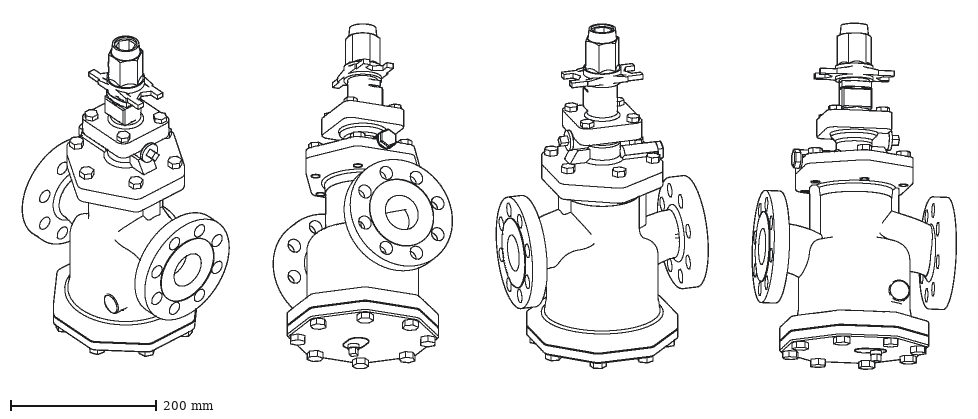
import cadquery as cq
import math


LENGTH = 259.0
FLANGE_DIA = 155.0
FLANGE_BACK_X = 106.0
FLANGE_EDGE_FILLET = 2.0
RAISED_FACE_DIA = 97.0
RAISED_FACE = 1.5
BORE_DIA = 50.0
BORE_DEPTH = 30.5
FLANGE_HOLES = 8
FLANGE_HOLE_DIA = 19.0
FLANGE_PITCH_DIA = 119.5
FLARE_DIA = 80.0
FLARE_LENGTH = 5.0
INLET_DIA = 66.7
INLET_BEND_RADIUS = 94.0
INLET_BEND_ANGLE = 40.0
OUTLET_SECTIONS = [
    (FLANGE_BACK_X, 1.5, 35.2, 36.0),
    (88.0, 9.0, 33.5, 36.5),
    (61.0, 13.5, 35.5, 40.0),
    (19.0, 22.0, 46.0, 46.5),
]

BODY_RADIUS = 77.0
NECK_RADIUS = 51.0
COLLAR_TOP_RADIUS = 53.0
COLLAR_BOTTOM_RADIUS = 51.5
COLLAR_BOTTOM_Z = 72.5
COLLAR_TOP_Z = 83.5
COLLAR_FOOT_RADIUS = 57.0
SHOULDER_Z = -12.5
SHOULDER_RADIUS = 21.0
NECK_FILLET = 10.0
SKIRT_TOP_Z = -83.5
SKIRT_BOTTOM_Z = -100.5
SKIRT_RADIUS = 80.0
SKIRT_FOOT_RADIUS = 84.0

OCTAGON_FLATS = 195.0
OCTAGON_CORNER_FILLET = 12.5
BODY_FLANGE_TOP_Z = -103.5
BODY_FLANGE_BOTTOM_Z = -124.0
BODY_FLANGE_FILLET = 3.8
GASKET_LAND = 1.5
GASKET_LAND_INSET = 0.5
TRAP_COVER_BOTTOM_Z = -140.0
TRAP_COVER_CHAMFER = 2.5
TRAP_BOLTS = 8
TRAP_BOLT_PITCH_RADIUS = 90.0
TRAP_BOLT_DIA = 22.5
TRAP_BOLT_HEIGHT = 8.5

DRAIN_X = 30.5
DRAIN_PAD_X = 15.0
DRAIN_PAD_DIA = 29.0
DRAIN_PAD_HEIGHT = 1.0
DRAIN_COLLAR_DIA = 15.5
DRAIN_COLLAR_BOTTOM_Z = -146.0
PLUG_SQUARE_DIAGONAL = 14.0
DRAIN_BOTTOM_Z = -155.0

TRAP_BOSS_X = 49.5
TRAP_BOSS_Z = -68.0
TRAP_BOSS_FACE_Y = -71.0
TRAP_BOSS_DIA = 29.0
TRAP_BOSS_CHAMFER = 1.5
TRAP_BOSS_FILLET = 3.5

PASSAGE_X = 61.0
PASSAGE_WIDTH = 23.5
PASSAGE_FILLET = 4.0
INLET_PASSAGE_BOTTOM_Z = 14.0
OUTLET_PASSAGE_BOTTOM_Z = 42.5

HEXAGON_FLATS = 150.5
HEXAGON_CORNER_FILLET = 12.5
TOP_FLANGE_BOTTOM_Z = 87.0
TOP_JOINT_Z = 110.5
TOP_FLANGE_TOP_Z = 125.0
TOP_FLANGE_LOWER_FILLET = 3.8
TOP_FLANGE_UPPER_FILLET = 2.0
TOP_BOLTS = 6
TOP_BOLT_PITCH_RADIUS = 71.5
TOP_BOLT_DIA = 19.7
TOP_BOLT_HEIGHT = 8.0
TOP_BOLT_END_DIA = 12.0
TOP_BOLT_END_LENGTH = 1.0

PILOT_NECK_RADIUS = 25.0
PILOT_NECK_FOOT_FILLET = 5.0
PILOT_NECK_FLARE = [(PILOT_NECK_RADIUS, 148.5), (26.5, 152.8), (32.0, 159.0)]
PILOT_NECK_TOP_RADIUS = 33.5
SQUARE_WIDTH = 91.5
SQUARE_CORNER_FILLET = 12.5
SQUARE_BOTTOM_Z = 163.0
SQUARE_TOP_Z = 187.5
SQUARE_LOWER_CHAMFER = 2.0
SQUARE_LOWER_CHAMFER_INSET = 0.5
SQUARE_BOLTS = 4
SQUARE_BOLT_SPACING = 67.0
SQUARE_BOLT_DIA = 19.0
SQUARE_BOLT_HEIGHT = 6.5

SCREEN_PIPE_DIA = 25.5
SCREEN_PIPE_Z = 125.0
SCREEN_PIPE_END_X = -77.5
SCREEN_CAP_DIA = 27.0
SCREEN_CAP_END_X = -86.0
SCREEN_CAP_CHAMFER = 1.5
SCREEN_FLARE_START_X = -29.0
SCREEN_FLARE_END_X = -21.5
SCREEN_FLARE_DIA = 33.0
SCREEN_RIB_FOOT = 17.5
SCREEN_RIB_TOP = 12.5
SCREEN_RIB_HEIGHT = 3.8

SIDE_PLUG_Z = 156.0
SIDE_PLUG_PIPE_DIA = 27.0
SIDE_PLUG_PIPE_END_X = 46.5
SIDE_PLUG_COLLAR_DIA = 28.0
SIDE_PLUG_COLLAR_END_X = 50.8
SIDE_PLUG_END_X = 62.0
WEB_WIDTH = 23.5
WEB_TOP_Z = 144.0
WEB_TOP_X = 39.5
WEB_BOTTOM_X = 51.0

HOUSING_DIA = 42.0
HOUSING_FOOT_FILLET = 3.8
HOUSING_COLLAR_DIA = 52.0
HOUSING_COLLAR_BOTTOM_Z = 238.0
HOUSING_COLLAR_TOP_Z = 257.5
LOWER_PAD_DEPTH = 21.5
LOWER_PAD_BOTTOM_Z = 196.0
LOWER_PAD_TOP_Z = 223.5
LOWER_PAD_CHAMFER = 2.0
UPPER_PAD_BOTTOM_Z = 225.5
UPPER_PAD_TOP_Z = 233.5
UPPER_PAD_SIDE_DEPTH = 17.0
UPPER_PAD_CROWN_DEPTH = 21.5

HANDLE_HALF_SPAN = 51.5
HANDLE_WIDTH = 45.0
HANDLE_BOTTOM_Z = 242.0
HANDLE_TOP_Z = 249.0
FORK_WIDTH = 25.5
FORK_SHOULDER_X = 38.5
FORK_POINT_X = 31.5
HANDLE_RIB_OUTER_X = 29.0
HANDLE_RIB_INNER_X = 6.5
HANDLE_RIB_OUTER_Y = 25.0
HANDLE_RIB_INNER_Y = 17.0
HANDLE_RIB_TOP_Z = 253.5

CAP_FLATS = 42.0
CAP_HEX_TOP_Z = 301.0
CAP_BEVEL = 3.5
CAP_FOOT_HEIGHT = 3.8
CAP_NOSE_BOTTOM_RADIUS = 19.7
CAP_NOSE_TOP_RADIUS = 18.5
CAP_TOP_Z = 315.0
CAP_MOUTH_DIA = 31.0
CAP_MOUTH_DEPTH = 3.0
SOCKET_FLATS = 23.5
SOCKET_DEPTH = 23.5


def flats_to_corners(flats, sides):
    """Diameter across the corners of a regular polygon."""
    return flats / math.cos(math.pi / sides)


def cylinder_z(dia, bottom, top, x=0.0, y=0.0):
    return cq.Workplane("XY", origin=(x, y, bottom)).circle(dia / 2).extrude(top - bottom)


def cylinder_x(dia, start, end, z=0.0):
    return cq.Workplane("YZ", origin=(start, 0, z)).circle(dia / 2).extrude(end - start)


def prism_z(sides, corners_dia, bottom, top, turn=0.0):
    """Upright regular prism with a corner at the given angle from +X."""
    prism = cq.Workplane("XY").polygon(sides, corners_dia).extrude(top - bottom)
    return prism.rotate((0, 0, 0), (0, 0, 1), turn).translate((0, 0, bottom))


def frustum_z(bottom_radius, top_radius, bottom, top):
    profile = [(0, bottom), (bottom_radius, bottom), (top_radius, top), (0, top)]
    return cq.Workplane("XZ").polyline(profile).close().revolve(360, (0, 0, 0), (0, 1, 0))


def octagon_plate(flats, bottom, top):
    corners = flats_to_corners(flats, 8)
    return prism_z(8, corners, bottom, top, 22.5).edges("|Z").fillet(OCTAGON_CORNER_FILLET)


def hexagon_plate(bottom, top):
    corners = flats_to_corners(HEXAGON_FLATS, 6)
    return prism_z(6, corners, bottom, top, 30).edges("|Z").fillet(HEXAGON_CORNER_FILLET)


def bolt_ring(count, first_angle, pitch_radius, corners_dia, bottom, top, turn=30):
    """Hexagon bolt heads on a circle; a turn of 30 degrees faces one flat outward."""
    ring = cq.Workplane("XY")
    for i in range(count):
        angle = first_angle + i * 360 / count
        head = prism_z(6, corners_dia, bottom, top, turn).translate((pitch_radius, 0, 0))
        ring = ring.add(head.rotate((0, 0, 0), (0, 0, 1), angle))
    return ring.combine()




def body_shell():
    """Turned shell: skirt, barrel, rounded shoulder, neck and collar."""
    shoulder_x = BODY_RADIUS - SHOULDER_RADIUS
    fillet_x = NECK_RADIUS + NECK_FILLET
    between = SHOULDER_RADIUS + NECK_FILLET
    lean = math.asin((fillet_x - shoulder_x) / between)
    fillet_z = SHOULDER_Z + between * math.cos(lean)
    meeting = (
        shoulder_x + SHOULDER_RADIUS * math.sin(lean),
        SHOULDER_Z + SHOULDER_RADIUS * math.cos(lean),
    )
    fillet_mid_angle = math.pi + (math.pi / 2 - lean) / 2
    fillet_mid = (
        fillet_x + NECK_FILLET * math.cos(fillet_mid_angle),
        fillet_z + NECK_FILLET * math.sin(fillet_mid_angle),
    )
    shoulder_mid_angle = (math.pi / 2 - lean) / 2
    shoulder_mid = (
        shoulder_x + SHOULDER_RADIUS * math.cos(shoulder_mid_angle),
        SHOULDER_Z + SHOULDER_RADIUS * math.sin(shoulder_mid_angle),
    )
    profile = (
        cq.Workplane("XZ")
        .moveTo(0, BODY_FLANGE_TOP_Z)
        .lineTo(SKIRT_FOOT_RADIUS, BODY_FLANGE_TOP_Z)
        .lineTo(SKIRT_RADIUS, SKIRT_BOTTOM_Z)
        .lineTo(BODY_RADIUS, SKIRT_TOP_Z)
        .lineTo(BODY_RADIUS, SHOULDER_Z)
        .threePointArc(shoulder_mid, meeting)
        .threePointArc(fillet_mid, (NECK_RADIUS, fillet_z))
        .lineTo(NECK_RADIUS, COLLAR_BOTTOM_Z)
        .lineTo(COLLAR_BOTTOM_RADIUS, COLLAR_BOTTOM_Z)
        .lineTo(COLLAR_TOP_RADIUS, COLLAR_TOP_Z)
        .lineTo(COLLAR_FOOT_RADIUS, TOP_FLANGE_BOTTOM_Z)
        .lineTo(0, TOP_FLANGE_BOTTOM_Z)
        .close()
    )
    return profile.revolve(360, (0, 0, 0), (0, 1, 0))


def inlet_branch():
    """Round pipe that bends down into the body."""
    angle = math.radians(INLET_BEND_ANGLE)

    def bend_point(turn):
        return (
            -FLANGE_BACK_X + INLET_BEND_RADIUS * math.sin(turn),
            INLET_BEND_RADIUS * (math.cos(turn) - 1),
        )

    path = (
        cq.Workplane("XZ")
        .moveTo(*bend_point(0))
        .threePointArc(bend_point(angle / 2), bend_point(angle))
    )
    start = cq.Workplane("YZ", origin=(-FLANGE_BACK_X, 0, 0))
    return start.circle(INLET_DIA / 2).sweep(path)


def outlet_branch():
    """Pipe that widens as it rises into the neck."""
    sections = []
    for x, centre_z, half_width, half_height in OUTLET_SECTIONS:
        ellipse = cq.Workplane("YZ", origin=(x, 0, centre_z)).ellipse(half_width, half_height)
        sections.append(ellipse.val())
    return cq.Workplane(cq.Solid.makeLoft(sections))


def pipe_flange():
    """Flange on the +X side with its raised face and the flare of the pipe behind it."""
    disc_end = LENGTH / 2 - RAISED_FACE
    disc = cylinder_x(FLANGE_DIA, FLANGE_BACK_X, disc_end).edges("<X").fillet(FLANGE_EDGE_FILLET)
    holes = (
        cq.Workplane("YZ", origin=(FLANGE_BACK_X, 0, 0))
        .polarArray(FLANGE_PITCH_DIA / 2, 22.5, 360, FLANGE_HOLES)
        .circle(FLANGE_HOLE_DIA / 2)
        .extrude(LENGTH)
    )
    face = cylinder_x(RAISED_FACE_DIA, disc_end, LENGTH / 2)
    flare = (
        cq.Workplane("YZ", origin=(FLANGE_BACK_X, 0, 0))
        .circle(FLARE_DIA / 2)
        .workplane(offset=-FLARE_LENGTH)
        .circle(INLET_DIA / 2)
        .loft()
    )
    return disc.cut(holes).union(face).union(flare)


def passage(x_sign, bottom):
    """Upright passage on the side of the neck, under the top flange."""
    height = TOP_FLANGE_BOTTOM_Z - bottom
    block = (
        cq.Workplane("XY")
        .box(PASSAGE_X, PASSAGE_WIDTH, height, centered=(False, True, False))
        .edges("|Z and >X")
        .fillet(PASSAGE_FILLET)
        .translate((0, 0, bottom))
    )
    return block if x_sign > 0 else block.mirror("YZ")


def barrel_with_trap_boss():
    """Turned shell with the round boss on its front, filleted where they meet."""
    boss = (
        cq.Workplane("XZ", origin=(TRAP_BOSS_X, TRAP_BOSS_FACE_Y, TRAP_BOSS_Z))
        .circle(TRAP_BOSS_DIA / 2)
        .extrude(TRAP_BOSS_FACE_Y)
        .faces("<Y")
        .chamfer(TRAP_BOSS_CHAMFER)
    )
    reach = TRAP_BOSS_DIA
    near_root = cq.selectors.BoxSelector(
        (TRAP_BOSS_X - reach, TRAP_BOSS_FACE_Y + 2 * TRAP_BOSS_CHAMFER, TRAP_BOSS_Z - reach / 2),
        (TRAP_BOSS_X + reach, 0, TRAP_BOSS_Z + reach / 2),
    )
    return body_shell().union(boss).edges(near_root).fillet(TRAP_BOSS_FILLET)


def top_bolt_ends():
    """Round bolt ends that stand out under the top flange."""
    return (
        cq.Workplane("XY", origin=(0, 0, TOP_FLANGE_BOTTOM_Z - TOP_BOLT_END_LENGTH))
        .polarArray(TOP_BOLT_PITCH_RADIUS, 30, 360, TOP_BOLTS)
        .circle(TOP_BOLT_END_DIA / 2)
        .extrude(TOP_BOLT_END_LENGTH)
    )


def make_main_body():
    bottom_flange = octagon_plate(OCTAGON_FLATS, BODY_FLANGE_BOTTOM_Z, BODY_FLANGE_TOP_Z)
    bottom_flange = bottom_flange.faces(">Z").edges().fillet(BODY_FLANGE_FILLET)
    top_flange = hexagon_plate(TOP_FLANGE_BOTTOM_Z, TOP_JOINT_Z)
    top_flange = top_flange.faces("<Z").edges().fillet(TOP_FLANGE_LOWER_FILLET)
    body = barrel_with_trap_boss().union(bottom_flange).union(top_flange)
    body = body.union(passage(-1, INLET_PASSAGE_BOTTOM_Z)).union(passage(1, OUTLET_PASSAGE_BOTTOM_Z))
    body = body.union(inlet_branch()).union(outlet_branch())
    body = body.union(top_bolt_ends())
    body = body.union(pipe_flange()).union(pipe_flange().mirror("YZ"))
    outlet_bore = cylinder_x(BORE_DIA, LENGTH / 2 - BORE_DEPTH, LENGTH / 2)
    return body.cut(outlet_bore).cut(outlet_bore.mirror("YZ"))




def square_head(height):
    """Square plug head along +Z, turned so that its corners point along X and Y."""
    return cq.Workplane("XY").polygon(4, PLUG_SQUARE_DIAGONAL).extrude(height)


def cover_drain():
    """Low oblong pad, collar and square plug under the trap cover."""
    pad_length = DRAIN_X - DRAIN_PAD_X + DRAIN_PAD_DIA
    pad = (
        cq.Workplane("XY", origin=((DRAIN_X + DRAIN_PAD_X) / 2, 0, TRAP_COVER_BOTTOM_Z))
        .slot2D(pad_length, DRAIN_PAD_DIA)
        .extrude(-DRAIN_PAD_HEIGHT)
    )
    collar = cylinder_z(DRAIN_COLLAR_DIA, DRAIN_COLLAR_BOTTOM_Z, TRAP_COVER_BOTTOM_Z, DRAIN_X)
    head = square_head(DRAIN_COLLAR_BOTTOM_Z - DRAIN_BOTTOM_Z).translate((DRAIN_X, 0, DRAIN_BOTTOM_Z))
    return pad.union(collar).union(head)


def make_trap_cover():
    plate_top = BODY_FLANGE_BOTTOM_Z - GASKET_LAND
    plate = octagon_plate(OCTAGON_FLATS, TRAP_COVER_BOTTOM_Z, plate_top)
    plate = plate.faces("<Z").edges().chamfer(TRAP_COVER_CHAMFER)
    land = octagon_plate(OCTAGON_FLATS - 2 * GASKET_LAND_INSET, plate_top, BODY_FLANGE_BOTTOM_Z)
    head_bottom = TRAP_COVER_BOTTOM_Z - TRAP_BOLT_HEIGHT
    bolts = bolt_ring(
        TRAP_BOLTS, 22.5, TRAP_BOLT_PITCH_RADIUS, TRAP_BOLT_DIA, head_bottom, TRAP_COVER_BOTTOM_Z
    )
    return plate.union(land).union(bolts).union(cover_drain())




def pilot_neck():
    """Round neck that opens through a cone to the square flange."""
    foot_top = TOP_FLANGE_TOP_Z + PILOT_NECK_FOOT_FILLET
    neck = cylinder_z(2 * PILOT_NECK_RADIUS, TOP_FLANGE_TOP_Z, SQUARE_BOTTOM_Z)
    foot_radius = PILOT_NECK_RADIUS + PILOT_NECK_FOOT_FILLET
    foot = frustum_z(foot_radius, PILOT_NECK_RADIUS, TOP_FLANGE_TOP_Z, foot_top)
    flare_steps = PILOT_NECK_FLARE + [(PILOT_NECK_TOP_RADIUS, SQUARE_BOTTOM_Z)]
    for (low_radius, low), (high_radius, high) in zip(flare_steps, flare_steps[1:]):
        neck = neck.union(frustum_z(low_radius, high_radius, low, high))
    return neck.union(foot)


def square_flange():
    plate = (
        cq.Workplane("XY", origin=(0, 0, SQUARE_BOTTOM_Z))
        .rect(SQUARE_WIDTH, SQUARE_WIDTH)
        .extrude(SQUARE_TOP_Z - SQUARE_BOTTOM_Z)
        .edges("|Z")
        .fillet(SQUARE_CORNER_FILLET)
    )
    plate = plate.faces("<Z").edges().chamfer(SQUARE_LOWER_CHAMFER, SQUARE_LOWER_CHAMFER_INSET)
    bolts = bolt_ring(
        SQUARE_BOLTS,
        45,
        SQUARE_BOLT_SPACING / math.sqrt(2),
        SQUARE_BOLT_DIA,
        SQUARE_TOP_Z,
        SQUARE_TOP_Z + SQUARE_BOLT_HEIGHT,
        turn=45,
    )
    return plate.union(bolts)


def screen_pipe():
    """Horizontal pipe on the cover with ribs along its foot and a hexagon cap."""
    pipe = cylinder_x(SCREEN_PIPE_DIA, SCREEN_PIPE_END_X, 0, SCREEN_PIPE_Z)
    ribs = (
        cq.Workplane("YZ", origin=(-HEXAGON_FLATS / 2, 0, TOP_FLANGE_TOP_Z))
        .polyline(
            [
                (-SCREEN_RIB_FOOT, 0),
                (SCREEN_RIB_FOOT, 0),
                (SCREEN_RIB_TOP, SCREEN_RIB_HEIGHT),
                (-SCREEN_RIB_TOP, SCREEN_RIB_HEIGHT),
            ]
        )
        .close()
        .extrude(HEXAGON_FLATS / 2)
    )
    cap = (
        cq.Workplane("YZ", origin=(SCREEN_CAP_END_X, 0, SCREEN_PIPE_Z))
        .transformed(rotate=(0, 0, 90))
        .polygon(6, SCREEN_CAP_DIA)
        .extrude(SCREEN_PIPE_END_X - SCREEN_CAP_END_X)
        .faces("<X")
        .chamfer(SCREEN_CAP_CHAMFER)
    )
    flare = (
        cq.Workplane("YZ", origin=(SCREEN_FLARE_START_X, 0, SCREEN_PIPE_Z))
        .circle(SCREEN_PIPE_DIA / 2)
        .workplane(offset=SCREEN_FLARE_END_X - SCREEN_FLARE_START_X)
        .circle(SCREEN_FLARE_DIA / 2)
        .loft()
    )
    above_cover = cylinder_z(HEXAGON_FLATS, TOP_FLANGE_TOP_Z, SQUARE_BOTTOM_Z)
    return pipe.union(ribs).union(cap).union(flare.intersect(above_cover))


def side_plug():
    """Short pipe with a collar and a square plug, carried by a sloping web."""
    pipe = cylinder_x(SIDE_PLUG_PIPE_DIA, 0, SIDE_PLUG_PIPE_END_X, SIDE_PLUG_Z)
    collar = cylinder_x(SIDE_PLUG_COLLAR_DIA, SIDE_PLUG_PIPE_END_X, SIDE_PLUG_COLLAR_END_X, SIDE_PLUG_Z)
    head = (
        square_head(SIDE_PLUG_END_X - SIDE_PLUG_COLLAR_END_X)
        .rotate((0, 0, 0), (0, 1, 0), 90)
        .translate((SIDE_PLUG_COLLAR_END_X, 0, SIDE_PLUG_Z))
    )
    web = (
        cq.Workplane("XZ", origin=(0, WEB_WIDTH / 2, 0))
        .polyline(
            [
                (0, TOP_FLANGE_TOP_Z),
                (WEB_BOTTOM_X, TOP_FLANGE_TOP_Z),
                (WEB_TOP_X, WEB_TOP_Z),
                (0, WEB_TOP_Z),
            ]
        )
        .close()
        .extrude(WEB_WIDTH)
    )
    return pipe.union(collar).union(head).union(web)


def spring_housing():
    """Tube with two stacked pads on its front and a collar on top."""
    radius = HOUSING_DIA / 2
    tube = cylinder_z(HOUSING_DIA, SQUARE_TOP_Z, HOUSING_COLLAR_BOTTOM_Z)
    foot = frustum_z(
        radius + HOUSING_FOOT_FILLET, radius, SQUARE_TOP_Z, SQUARE_TOP_Z + HOUSING_FOOT_FILLET
    )
    lower_pad = (
        cq.Workplane("XY", origin=(0, -LOWER_PAD_DEPTH / 2, LOWER_PAD_BOTTOM_Z))
        .rect(HOUSING_DIA, LOWER_PAD_DEPTH)
        .extrude(LOWER_PAD_TOP_Z - LOWER_PAD_BOTTOM_Z)
        .faces("<Y")
        .edges()
        .chamfer(LOWER_PAD_CHAMFER)
    )
    upper_pad = (
        cq.Workplane("XY", origin=(0, 0, UPPER_PAD_BOTTOM_Z))
        .moveTo(-radius, 0)
        .lineTo(-radius, -UPPER_PAD_SIDE_DEPTH)
        .threePointArc((0, -UPPER_PAD_CROWN_DEPTH), (radius, -UPPER_PAD_SIDE_DEPTH))
        .lineTo(radius, 0)
        .close()
        .extrude(UPPER_PAD_TOP_Z - UPPER_PAD_BOTTOM_Z)
    )
    collar = cylinder_z(HOUSING_COLLAR_DIA, HOUSING_COLLAR_BOTTOM_Z, HOUSING_COLLAR_TOP_Z)
    return tube.union(foot).union(lower_pad).union(upper_pad).union(collar)


def handle_arm():
    """Forked arm on the +X side with a raised rib along each edge."""
    half_width = HANDLE_WIDTH / 2
    half_fork = FORK_WIDTH / 2
    arm = (
        cq.Workplane("XY", origin=(0, 0, HANDLE_BOTTOM_Z))
        .polyline(
            [
                (0, -half_width),
                (HANDLE_HALF_SPAN, -half_width),
                (HANDLE_HALF_SPAN, -half_fork),
                (FORK_SHOULDER_X, -half_fork),
                (FORK_POINT_X, 0),
                (FORK_SHOULDER_X, half_fork),
                (HANDLE_HALF_SPAN, half_fork),
                (HANDLE_HALF_SPAN, half_width),
                (0, half_width),
            ]
        )
        .close()
        .extrude(HANDLE_TOP_Z - HANDLE_BOTTOM_Z)
    )
    rib = (
        cq.Workplane("XZ", origin=(0, HANDLE_RIB_OUTER_Y, 0))
        .polyline(
            [
                (HANDLE_RIB_INNER_X, HANDLE_BOTTOM_Z),
                (HANDLE_RIB_OUTER_X, HANDLE_BOTTOM_Z),
                (HANDLE_RIB_OUTER_X, HANDLE_TOP_Z),
                (HANDLE_RIB_INNER_X, HANDLE_RIB_TOP_Z),
            ]
        )
        .close()
        .extrude(HANDLE_RIB_OUTER_Y - HANDLE_RIB_INNER_Y)
    )
    return arm.union(rib).union(rib.mirror("XZ"))


def lock_cap():
    """Hexagon cap with a bevelled top, a tapered nose and a hexagon socket."""
    corners = flats_to_corners(CAP_FLATS, 6)
    bevel_base = CAP_HEX_TOP_Z - CAP_BEVEL / 2
    hexagon = prism_z(6, corners, HOUSING_COLLAR_TOP_Z, CAP_HEX_TOP_Z)
    bevel = cylinder_z(corners, HOUSING_COLLAR_TOP_Z, bevel_base).union(
        frustum_z(corners / 2, corners / 2 - CAP_BEVEL, bevel_base, CAP_HEX_TOP_Z)
    )
    foot_top = HOUSING_COLLAR_TOP_Z + CAP_FOOT_HEIGHT
    foot = frustum_z(corners / 2, CAP_FLATS / 2, HOUSING_COLLAR_TOP_Z, foot_top)
    nose = frustum_z(CAP_NOSE_BOTTOM_RADIUS, CAP_NOSE_TOP_RADIUS, CAP_HEX_TOP_Z, CAP_TOP_Z)
    mouth = cylinder_z(CAP_MOUTH_DIA, CAP_TOP_Z - CAP_MOUTH_DEPTH, CAP_TOP_Z)
    socket = prism_z(6, flats_to_corners(SOCKET_FLATS, 6), CAP_TOP_Z - SOCKET_DEPTH, CAP_TOP_Z)
    return hexagon.intersect(bevel).union(foot).union(nose).cut(mouth).cut(socket)


def make_pilot_head():
    cover = hexagon_plate(TOP_JOINT_Z, TOP_FLANGE_TOP_Z)
    cover = cover.faces(">Z").edges().fillet(TOP_FLANGE_UPPER_FILLET)
    bolts = bolt_ring(
        TOP_BOLTS,
        30,
        TOP_BOLT_PITCH_RADIUS,
        TOP_BOLT_DIA,
        TOP_FLANGE_TOP_Z,
        TOP_FLANGE_TOP_Z + TOP_BOLT_HEIGHT,
    )
    pilot = pilot_neck().union(square_flange()).union(side_plug())
    head = cover.union(bolts).union(screen_pipe()).union(pilot).union(spring_housing())
    head = head.union(handle_arm()).union(handle_arm().mirror("YZ"))
    return head.union(lock_cap())


main_body = make_main_body()
trap_cover = make_trap_cover()
pilot_head = make_pilot_head()

result = cq.Compound.makeCompound([body.solids().val() for body in (main_body, trap_cover, pilot_head)])